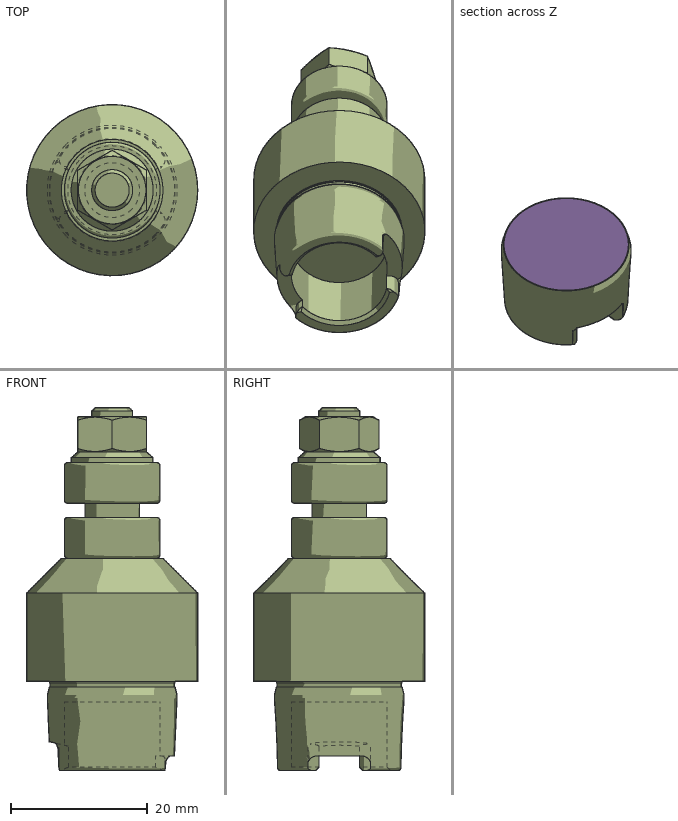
import cadquery as cq
import math

total_height = 53.0
shank_tip_radius = 9.0
shank_shoulder_radius = 9.5
neck_radius = 9.195
neck_groove_radius = 9.1
body_radius = 12.5
body_cone_top_radius = 7.4
collar_radius = 7.0
spacer_radius = 4.0
washer_radius = 6.0
washer_top_radius = 5.05
stud_radius = 2.995
edge_size = 0.505

shoulder_bottom_z = 10.55
shoulder_top_z = 11.0
groove_bottom_z = 12.2
groove_top_z = 12.75
body_bottom_z = 13.05
body_top_z = 31.0
body_cone_z = body_top_z - (body_radius - body_cone_top_radius)
lower_collar_top_z = 37.0
upper_collar_bottom_z = 39.0
upper_collar_top_z = 45.0
washer_edge_z = 45.7
nut_bottom_z = 46.55
nut_top_z = 51.7

nut_across_flats = 10.05
nut_face_radius = 4.95
nut_chamfer_angle = 30.0

bore_radius = 7.0
bore_depth = 10.0
slot_width = 5.85
slot_mouth_width = 9.1
slot_corner_height = 0.85
slot_inner_x = 6.1
slot_outer_x = 10.6
deep_slot_height = 4.2
shallow_slot_height = 2.1
deep_slot_ceiling_drop = 0.7


def cylinder(radius, bottom_z, top_z):
    return cq.Workplane("XY").workplane(offset=bottom_z).circle(radius).extrude(top_z - bottom_z)


def make_turned_body():
    profile = [
        (0, 0),
        (shank_tip_radius, 0),
        (shank_shoulder_radius, shoulder_bottom_z),
        (shank_shoulder_radius, shoulder_top_z),
        (neck_radius, groove_bottom_z),
        (neck_groove_radius, groove_bottom_z),
        (neck_groove_radius, groove_top_z),
        (neck_radius, groove_top_z),
        (neck_radius, body_bottom_z),
        (body_radius, body_bottom_z),
        (body_radius, body_cone_z),
        (body_cone_top_radius, body_top_z),
        (0, body_top_z),
    ]
    turned = cq.Workplane("XZ").polyline(profile).close().revolve(360, (0, 0), (0, 1))
    return turned.faces("<Z").edges().fillet(edge_size)


def make_collar(bottom_z, top_z):
    return cylinder(collar_radius, bottom_z, top_z).faces("|Z").edges().fillet(edge_size)


def make_washer():
    profile = [
        (0, upper_collar_top_z),
        (washer_radius, upper_collar_top_z),
        (washer_radius, washer_edge_z),
        (washer_top_radius, nut_bottom_z),
        (0, nut_bottom_z),
    ]
    return cq.Workplane("XZ").polyline(profile).close().revolve(360, (0, 0), (0, 1))


def make_nut():
    corner_radius = nut_across_flats / math.sqrt(3)
    chamfer_height = (corner_radius - nut_face_radius) * math.tan(math.radians(nut_chamfer_angle))
    hexagon = (
        cq.Workplane("XY")
        .workplane(offset=nut_bottom_z)
        .transformed(rotate=(0, 0, 90))
        .polygon(6, 2 * corner_radius)
        .extrude(nut_top_z - nut_bottom_z)
    )
    envelope_profile = [
        (0, nut_bottom_z),
        (nut_face_radius, nut_bottom_z),
        (corner_radius, nut_bottom_z + chamfer_height),
        (corner_radius, nut_top_z - chamfer_height),
        (nut_face_radius, nut_top_z),
        (0, nut_top_z),
    ]
    envelope = cq.Workplane("XZ").polyline(envelope_profile).close().revolve(360, (0, 0), (0, 1))
    return hexagon.intersect(envelope)


def make_slot(height, ceiling_drop):
    """Cutter for a drive slot on the +X side, with rounded flanks flaring to a wider mouth."""
    half_width = slot_width / 2
    half_mouth = slot_mouth_width / 2
    flare = half_mouth - half_width
    flare_end_x = slot_inner_x + flare
    arc_in = flare * math.sin(math.radians(45))
    arc_out = flare * (1 - math.cos(math.radians(45)))
    plan = (
        cq.Workplane("XY")
        .moveTo(0, -half_width)
        .lineTo(slot_inner_x, -half_width)
        .threePointArc((slot_inner_x + arc_in, -half_width - arc_out), (flare_end_x, -half_mouth))
        .lineTo(slot_outer_x, -half_mouth)
        .lineTo(slot_outer_x, half_mouth)
        .lineTo(flare_end_x, half_mouth)
        .threePointArc((slot_inner_x + arc_in, half_width + arc_out), (slot_inner_x, half_width))
        .lineTo(0, half_width)
        .close()
        .extrude(height)
    )
    corner_z = height - slot_corner_height
    arc_y = half_width + arc_in
    arc_z = corner_z + slot_corner_height * math.sin(math.radians(45))
    mouth = (
        cq.Workplane("YZ")
        .moveTo(-half_mouth, 0)
        .lineTo(-half_mouth, corner_z)
        .threePointArc((-arc_y, arc_z), (-half_width, height))
        .lineTo(half_width, height)
        .threePointArc((arc_y, arc_z), (half_mouth, corner_z))
        .lineTo(half_mouth, 0)
        .close()
        .extrude(slot_outer_x)
    )
    ceiling_profile = [
        (0, 0),
        (slot_outer_x, 0),
        (slot_outer_x, height),
        (shank_tip_radius, height),
        (slot_inner_x, height - ceiling_drop),
        (0, height - ceiling_drop),
    ]
    ceiling = cq.Workplane("XZ").polyline(ceiling_profile).close().extrude(half_mouth, both=True)
    flank_chamfer = (
        cq.Workplane("YZ")
        .moveTo(-half_width - edge_size, 0)
        .lineTo(half_width + edge_size, 0)
        .lineTo(half_width, edge_size)
        .lineTo(-half_width, edge_size)
        .close()
        .extrude(slot_outer_x)
    )
    return plan.intersect(mouth).intersect(ceiling).union(flank_chamfer)


bore = cylinder(bore_radius, 0, bore_depth).union(
    cq.Workplane("XY").circle(bore_radius + edge_size).workplane(offset=edge_size).circle(bore_radius).loft()
)
deep_slot = make_slot(deep_slot_height, deep_slot_ceiling_drop).rotate((0, 0, 0), (0, 0, 1), 180)
shallow_slot = make_slot(shallow_slot_height, 0)
stud = cylinder(stud_radius, nut_bottom_z, total_height).faces(">Z").chamfer(edge_size)

result = (
    make_turned_body()
    .union(make_collar(body_top_z, lower_collar_top_z))
    .union(cylinder(spacer_radius, body_top_z, upper_collar_top_z))
    .union(make_collar(upper_collar_bottom_z, upper_collar_top_z))
    .union(make_washer())
    .union(make_nut())
    .union(stud)
    .cut(bore)
    .cut(deep_slot)
    .cut(shallow_slot)
)